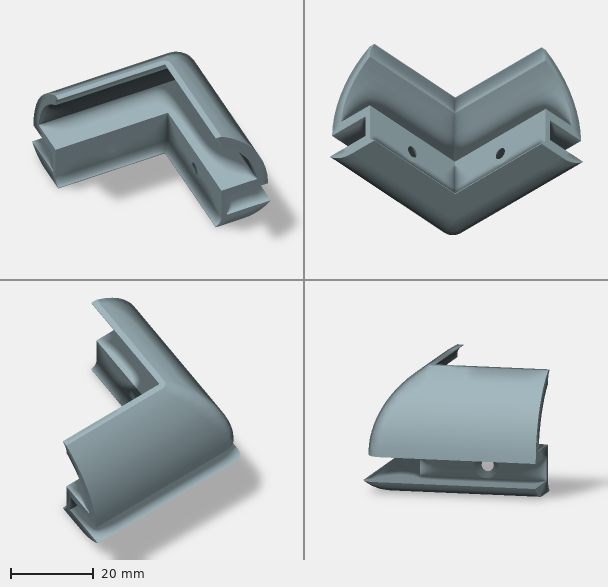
import cadquery as cq
import math

inner_leg_length = 30.0
height = 29.77
profile_depth = 13.21
leg_length = inner_leg_length + profile_depth

flange_thickness = 3.0
flange_arc_radius = 10.0
slot_height = 6.0
slot_wall = 1.5
slot_top = flange_thickness + slot_height
slot_depth = profile_depth - slot_wall

shell_setback = 0.75
shell_wall = 2.75
ledge_thickness = 2.65
ledge_z = slot_top + ledge_thickness

lip_reach = 1.5
lip_arc_radius = 2.5

corner_radius = 4.0

hole_diameter = 3.0
countersink_diameter = 6.0
hole_z = flange_thickness + slot_height / 2
hole_position = profile_depth + inner_leg_length / 2

tolerance = 0.001


def circle_coordinate(radius, offset):
    """Coordinate of a point on a circle about the origin, given its other coordinate."""
    return math.sqrt(radius**2 - offset**2)


def mid_arc(center, start, end):
    """Point halfway along the shorter arc from start to end."""
    radius = math.dist(center, start)
    chord_middle = ((start[0] + end[0]) / 2, (start[1] + end[1]) / 2)
    angle = math.atan2(chord_middle[1] - center[1], chord_middle[0] - center[0])
    return (center[0] + radius * math.cos(angle), center[1] + radius * math.sin(angle))


def make_profile():
    """Cross-section of one leg; first coordinate is depth from the outer tip, second is Z."""
    flange_tip = (0, flange_thickness)
    flange_run = circle_coordinate(flange_arc_radius, flange_arc_radius - flange_thickness)
    flange_foot = (flange_run, 0)
    flange_center = (flange_run, flange_arc_radius)

    shell_run = profile_depth - shell_setback
    shell_rise = height - slot_top
    shell_radius = (shell_run**2 + shell_rise**2) / (2 * shell_run)
    shell_center = (shell_setback + shell_radius, slot_top)
    shell_foot = (shell_setback, slot_top)
    shell_top = (profile_depth, height)

    inner_radius = shell_radius - shell_wall
    inner_foot = (shell_center[0] - circle_coordinate(inner_radius, ledge_thickness), ledge_z)
    inner_top_rise = circle_coordinate(inner_radius, shell_center[0] - profile_depth)
    inner_top = (profile_depth, slot_top + inner_top_rise)

    lip_end = profile_depth + lip_reach
    lip_rise = circle_coordinate(lip_arc_radius, lip_arc_radius - lip_reach)
    lip_center_x = profile_depth + lip_arc_radius
    top_lip_start = (profile_depth, height - lip_arc_radius)
    top_lip_end = (lip_end, top_lip_start[1] + lip_rise)
    top_lip_center = (lip_center_x, top_lip_start[1])
    base_lip_start = (profile_depth, lip_arc_radius)
    base_lip_end = (lip_end, lip_arc_radius - lip_rise)
    base_lip_center = (lip_center_x, lip_arc_radius)

    return (
        cq.Workplane("XZ")
        .moveTo(*flange_tip)
        .threePointArc(mid_arc(flange_center, flange_tip, flange_foot), flange_foot)
        .lineTo(lip_end, 0)
        .lineTo(*base_lip_end)
        .threePointArc(mid_arc(base_lip_center, base_lip_end, base_lip_start), base_lip_start)
        .lineTo(profile_depth, ledge_z)
        .lineTo(*inner_foot)
        .threePointArc(mid_arc(shell_center, inner_foot, inner_top), inner_top)
        .lineTo(*top_lip_start)
        .threePointArc(mid_arc(top_lip_center, top_lip_start, top_lip_end), top_lip_end)
        .lineTo(lip_end, height)
        .lineTo(*shell_top)
        .threePointArc(mid_arc(shell_center, shell_top, shell_foot), shell_foot)
        .lineTo(slot_depth, slot_top)
        .lineTo(slot_depth, flange_thickness)
        .close()
    )


def make_leg():
    """Leg along -Y, cut at the corner by the vertical mitre plane Y = -X."""
    mitre_wedge = (
        cq.Workplane("XY")
        .polyline([(0, 0), (leg_length, -leg_length), (0, -leg_length)])
        .close()
        .extrude(height)
    )
    return make_profile().extrude(leg_length).intersect(mitre_wedge)


def mirror_across_mitre(leg):
    """Leg along +X, the reflection of the -Y leg in the mitre plane."""
    return leg.mirror(mirrorPlane=cq.Vector(1, 1, 0), basePointVector=(0, 0, 0))


def make_hole():
    """Countersunk hole along X through the slot wall of the -Y leg."""
    start = cq.Vector(slot_depth, -hole_position, hole_z)
    direction = cq.Vector(1, 0, 0)
    cone = cq.Solid.makeCone(countersink_diameter / 2, hole_diameter / 2, slot_wall, start, direction)
    return cq.Workplane(cone)


def is_outer_mitre_edge(edge):
    """True for the arcs on the mitre plane where the outer shell or flange faces of the legs meet."""
    on_mitre = all(abs(edge.positionAt(t).x + edge.positionAt(t).y) < tolerance for t in (0, 0.5, 1))
    bounds = edge.BoundingBox()
    before_wall = bounds.xmax < profile_depth + tolerance
    shell_edge = before_wall and abs(bounds.zmin - slot_top) < tolerance
    flange_edge = before_wall and abs(bounds.zmax - flange_thickness) < tolerance
    return on_mitre and edge.geomType() != "LINE" and (shell_edge or flange_edge)


def round_corner(body):
    """Round the outer mitre edges of the shell and the base flange."""
    outer_edges = [edge for edge in body.edges().vals() if is_outer_mitre_edge(edge)]
    return body.newObject(outer_edges).fillet(corner_radius)


leg = make_leg().cut(make_hole())
frame_corner = leg.union(mirror_across_mitre(leg))
result = round_corner(frame_corner).solids()